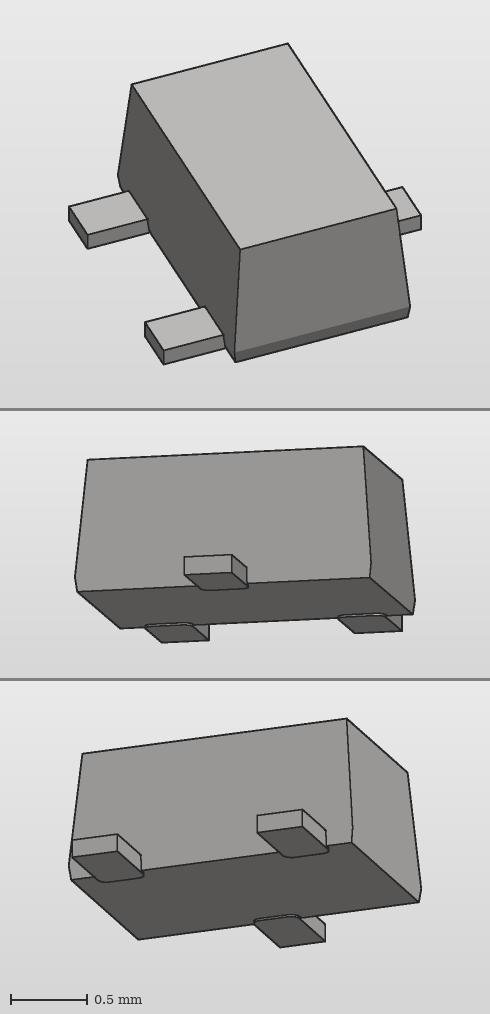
import cadquery as cq

body_length = 2.0
body_width = 1.25
body_top = 0.91
parting_height = 0.111
body_bottom = 0.015
upper_inset = 0.07
lower_inset = 0.013

span_y = 2.1
lead_width = 0.32
lead_thickness = 0.12
lead_length = 0.53
lead_corner_radius = 0.06
lead_pitch = 0.65

lead_places = [(-lead_pitch, -1), (lead_pitch, -1), (0, 1)]


def make_tapered_half(height, inset):
    """Taper from the full outline at the parting plane to a face inset on every side at the given height."""
    rise = height - parting_height
    return (
        cq.Workplane("XY")
        .workplane(offset=parting_height)
        .rect(body_length, body_width)
        .workplane(offset=rise)
        .rect(body_length - 2 * inset, body_width - 2 * inset)
        .loft(ruled=True)
    )


def make_lead(center_x, side):
    """Flat bar with a square outer end and rounded corners at its embedded end."""
    center_y = side * (span_y - lead_length) / 2
    inner_edges = "|Z and <Y" if side > 0 else "|Z and >Y"
    return (
        cq.Workplane("XY")
        .center(center_x, center_y)
        .rect(lead_width, lead_length)
        .extrude(lead_thickness)
        .edges(inner_edges)
        .fillet(lead_corner_radius)
    )


leads = [make_lead(center_x, side) for center_x, side in lead_places]

upper_half = make_tapered_half(body_top, upper_inset)
lower_half = make_tapered_half(body_bottom, lower_inset)
body = upper_half.union(lower_half)
for lead in leads:
    body = body.cut(lead)

result = cq.Compound.makeCompound([body.solids().val(), *[lead.val() for lead in leads]])